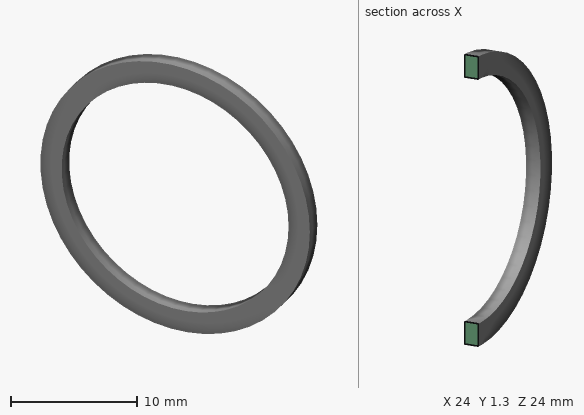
import cadquery as cq

outer_diameter = 24.0
bore_diameter = 20.2
thickness = 1.3

result = (
    cq.Workplane("XZ")
    .circle(outer_diameter / 2)
    .circle(bore_diameter / 2)
    .extrude(thickness)
)